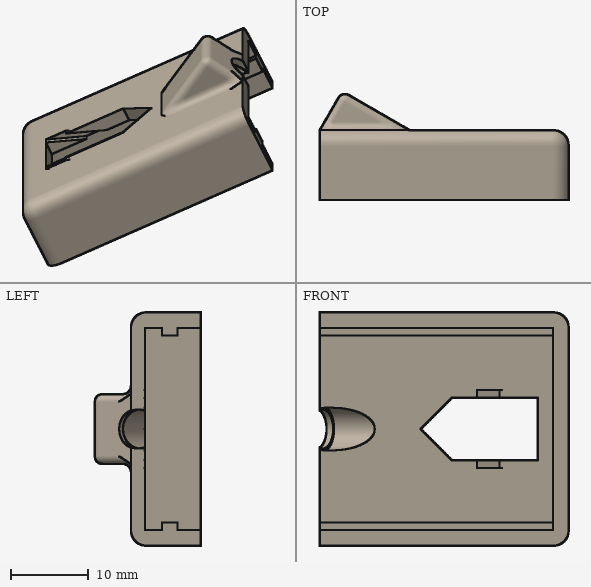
import cadquery as cq
import math

LENGTH = 32.0
HEIGHT = 30.0
DEPTH = 9.0
SIDE_WALL = 2.0
BACK_WALL = 1.8
OUTER_ROUND = 2.0

RIB_HEIGHT = 1.0
RIB_WIDTH = 2.0
RIB_FROM_OPENING = 3.0

WINDOW_TIP_X = 13.0
WINDOW_END_X = 28.0
WINDOW_HALF_HEIGHT = 4.0

SLOT_THICKNESS = 1.0
SLOT_ANGLE = 20.0
SLOT_OVERHANG = 1.0
SLOT_HALF_HEIGHT = WINDOW_HALF_HEIGHT + SLOT_OVERHANG

SPOUT_BASE = 11.55
SPOUT_WIDTH = 9.0
SPOUT_ANGLE = 30.0
SPOUT_ROUND = 1.0
BOX_MARGIN = 0.03

BORE_RADIUS = 2.5
COUNTERBORE_RADIUS = 2.75
LIP_THICKNESS = 1.0
BORE_OFFSET = 0.77
BORE_REACH = 9.6

INNER_BACK_Y = DEPTH - BACK_WALL
SPOUT_SLOPE = math.radians(SPOUT_ANGLE)


def make_tray():
    block = cq.Workplane("XY").box(LENGTH, DEPTH, HEIGHT, centered=(False, False, True))
    block = block.edges("(>X and |Y) or (>Y and |X) or (>X and >Y)").fillet(OUTER_ROUND)
    cavity = cq.Workplane("XY").box(
        LENGTH - SIDE_WALL, INNER_BACK_Y, HEIGHT - 2 * SIDE_WALL, centered=(False, False, True)
    )
    return block.cut(cavity)


def make_rib(side):
    inner_wall_z = HEIGHT / 2 - SIDE_WALL
    return (
        cq.Workplane("XY")
        .box(LENGTH - SIDE_WALL, RIB_WIDTH, RIB_HEIGHT, centered=(False, False, True))
        .translate((0, RIB_FROM_OPENING, side * (inner_wall_z - RIB_HEIGHT / 2)))
    )


def make_window():
    shoulder_x = WINDOW_TIP_X + WINDOW_HALF_HEIGHT
    outline = [
        (WINDOW_TIP_X, 0),
        (shoulder_x, WINDOW_HALF_HEIGHT),
        (WINDOW_END_X, WINDOW_HALF_HEIGHT),
        (WINDOW_END_X, -WINDOW_HALF_HEIGHT),
        (shoulder_x, -WINDOW_HALF_HEIGHT),
    ]
    return cq.Workplane("XZ", origin=(0, DEPTH, 0)).polyline(outline).close().extrude(BACK_WALL)


def make_strap_slot():
    slope = math.radians(SLOT_ANGLE)
    run = BACK_WALL / math.tan(slope)
    mouth = SLOT_THICKNESS / math.sin(slope)
    outline = [
        (WINDOW_END_X, DEPTH),
        (WINDOW_END_X - mouth, DEPTH),
        (WINDOW_END_X - mouth - run, INNER_BACK_Y),
        (WINDOW_END_X - run, INNER_BACK_Y),
    ]
    return cq.Workplane("XY").polyline(outline).close().extrude(SLOT_HALF_HEIGHT, both=True)


def add_spout(tray):
    steep_side = SPOUT_BASE * math.sin(SPOUT_SLOPE)
    peak = (steep_side * math.sin(SPOUT_SLOPE), DEPTH + steep_side * math.cos(SPOUT_SLOPE))
    wedge = (
        cq.Workplane("XY")
        .polyline([(0, DEPTH), peak, (SPOUT_BASE, DEPTH)])
        .close()
        .extrude(SPOUT_WIDTH / 2, both=True)
    )
    body = tray.union(wedge)
    around_spout = cq.selectors.BoxSelector(
        (0, DEPTH - BOX_MARGIN, -SPOUT_WIDTH), (SPOUT_BASE, DEPTH + steep_side, SPOUT_WIDTH)
    )
    return body.edges(around_spout).edges("(not |Z) or >Y").fillet(SPOUT_ROUND)


def make_bore():
    axis = cq.Vector(math.cos(SPOUT_SLOPE), -math.sin(SPOUT_SLOPE), 0)
    up_face = cq.Vector(math.sin(SPOUT_SLOPE), math.cos(SPOUT_SLOPE), 0)
    centre = cq.Vector(0, DEPTH, 0) - up_face * BORE_OFFSET
    bore = cq.Solid.makeCylinder(BORE_RADIUS, BORE_REACH, centre - axis * LIP_THICKNESS, axis)
    counterbore = cq.Solid.makeCylinder(COUNTERBORE_RADIUS, BORE_REACH, centre + axis * LIP_THICKNESS, axis)
    return cq.Workplane(obj=bore).union(cq.Workplane(obj=counterbore))


result = make_tray()
for rib_side in (-1, 1):
    result = result.union(make_rib(rib_side))
result = result.cut(make_window()).cut(make_strap_slot())
result = add_spout(result).cut(make_bore())